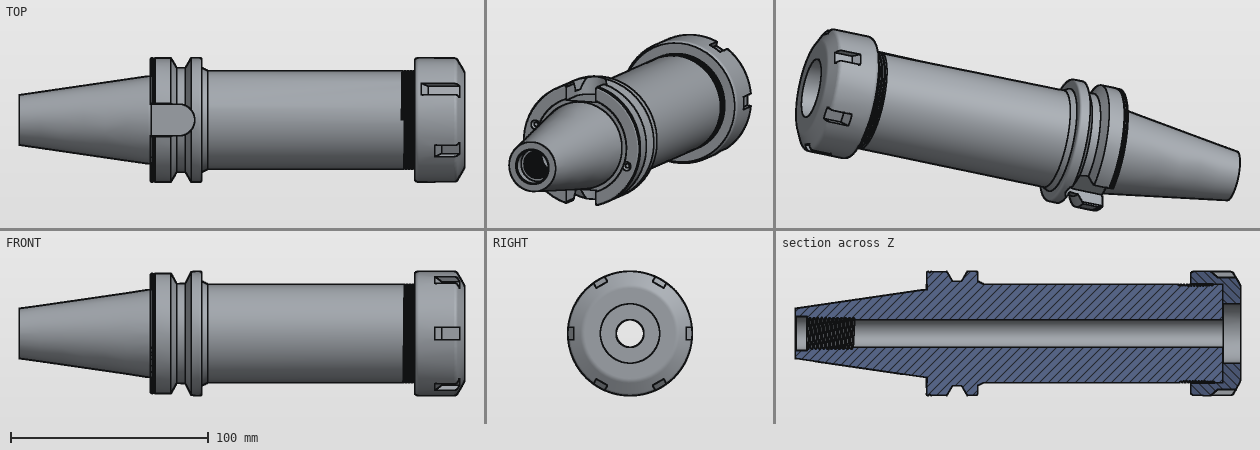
import cadquery as cq
import math


gauge_radius = 44.45 / 2
taper_length = 65.4
taper_slope = 7 / 24 / 2
taper_small_radius = gauge_radius - taper_length * taper_slope

flange_radius = 31.5
flange_front = 1.0
flange_back = 27.0
flange_front_fillet = 1.0
flange_back_fillet = 1.2
undercut_radius = 24.7
undercut_floor = 1.4
grip_groove_center = 16.5
grip_groove_depth = 5.0
grip_groove_half_top = 5.1
grip_groove_half_bottom = grip_groove_half_top - grip_groove_depth * math.tan(math.radians(30))
mark_groove_start = flange_front + flange_front_fillet
mark_groove_width = 1.4
mark_groove_depth = 0.5

key_width = 16.1
key_floor = 22.6
key_end = 23.4
key_chamfer = 0.8
key_rim_drop = flange_radius - math.sqrt(flange_radius**2 - (key_width / 2 + key_chamfer) ** 2)

coolant_core_diameter = 2.2
coolant_mouth_diameter = 4.6
coolant_circle_radius = 26.4
coolant_angle = 20
coolant_depth = 8.0
coolant_mouth_depth = (coolant_mouth_diameter - coolant_core_diameter) / 2

body_radius = 25.0
collar_radius = 26.5
collar_length = 3.0
overall_length = 225.4
nose_end = overall_length - taper_length
body_end = nose_end - 9.0

bore_radius = 13.835 / 2
counterbore_radius = 8.5
counterbore_depth = 6.0
counterbore_chamfer = 0.5
drawbar_pitch = 2.0
drawbar_radius = 8.0
drawbar_turns = 12

nut_pitch = 1.5
nut_thread_depth = 0.92
nut_thread_start = 128.5
nut_thread_turns = 12
thread_cutter_overshoot = 0.05

nut_length = 25.4
nut_radius = 31.5
nut_back = nose_end - nut_length
nut_opening_radius = 15.0
nut_back_round_length = 2.0
nut_back_round_drop = 1.0
nut_back_round_radius = (nut_back_round_length**2 + nut_back_round_drop**2) / (2 * nut_back_round_drop)
nose_cone_angle = 60
nose_face_radius = 24.0
nose_cone_length = (nut_radius - nose_face_radius) / math.tan(math.radians(nose_cone_angle))
nose_rim_fillet = 2.2
nose_face_fillet = 4.0

slot_count = 6
slot_width = 6.5
slot_floor = 28.4
slot_ramp_length = 2.8
slot_ramp_rise = 2.4
slot_entry_length = 0.8
short_slot_length = 15.4
long_slot_length = 22.2
long_slot_index = 1


def revolve_about_x(profile):
    return profile.close().revolve(360, (0, 0, 0), (1, 0, 0))


def thread_cutter(start, pitch, turns, root_radius, tip_radius, lefthand):
    """Triangular ridge wound around X, from its wide root to its narrow tip."""
    half_width = 0.45 * pitch
    helix = cq.Wire.makeHelix(pitch, pitch * turns, root_radius, lefthand=lefthand)
    ridge = (
        cq.Workplane("XZ")
        .moveTo(root_radius, -half_width)
        .lineTo(tip_radius, 0)
        .lineTo(root_radius, half_width)
        .close()
        .sweep(cq.Workplane(obj=helix), isFrenet=True)
    )
    return (
        ridge.rotate((0, 0, 0), (0, 1, 0), 90)
        .rotate((0, 0, 0), (1, 0, 0), 180)
        .translate((start, 0, 0))
    )


def holder_blank():
    groove_radius = flange_radius - grip_groove_depth
    mark_middle = mark_groove_start + mark_groove_width / 2
    profile = (
        cq.Workplane("XY")
        .moveTo(-taper_length, 0)
        .lineTo(-taper_length, taper_small_radius)
        .lineTo(0, gauge_radius)
        .lineTo(undercut_floor, gauge_radius)
        .lineTo(undercut_floor, undercut_radius)
        .lineTo(flange_front, undercut_radius)
        .lineTo(flange_front, flange_radius - flange_front_fillet)
        .radiusArc((mark_groove_start, flange_radius), flange_front_fillet)
        .lineTo(mark_middle, flange_radius - mark_groove_depth)
        .lineTo(mark_groove_start + mark_groove_width, flange_radius)
        .lineTo(grip_groove_center - grip_groove_half_top, flange_radius)
        .lineTo(grip_groove_center - grip_groove_half_bottom, groove_radius)
        .lineTo(grip_groove_center + grip_groove_half_bottom, groove_radius)
        .lineTo(grip_groove_center + grip_groove_half_top, flange_radius)
        .lineTo(flange_back - flange_back_fillet, flange_radius)
        .radiusArc((flange_back, flange_radius - flange_back_fillet), flange_back_fillet)
        .lineTo(flange_back, collar_radius)
        .lineTo(flange_back + collar_length, body_radius)
        .lineTo(body_end, body_radius)
        .lineTo(body_end, 0)
    )
    return revolve_about_x(profile)


def bore_cutter():
    shoulder = counterbore_depth - taper_length
    profile = (
        cq.Workplane("XY")
        .moveTo(-taper_length, 0)
        .lineTo(-taper_length, counterbore_radius + counterbore_chamfer)
        .lineTo(-taper_length + counterbore_chamfer, counterbore_radius)
        .lineTo(shoulder, counterbore_radius)
        .lineTo(shoulder, bore_radius)
        .lineTo(body_end, bore_radius)
        .lineTo(body_end, 0)
    )
    return revolve_about_x(profile)


def keyway_cutter():
    end_center = key_end - key_width / 2
    height = flange_radius - key_floor
    straight = cq.Workplane("XY").box(end_center, key_width, height, centered=(False, True, False))
    rounded = cq.Workplane("XY").center(end_center, 0).circle(key_width / 2).extrude(height)
    edge_relief = (
        cq.Workplane("YZ")
        .moveTo(-key_width / 2 - key_chamfer, height)
        .lineTo(-key_width / 2, height - key_chamfer - key_rim_drop)
        .lineTo(key_width / 2, height - key_chamfer - key_rim_drop)
        .lineTo(key_width / 2 + key_chamfer, height)
        .close()
        .extrude(grip_groove_center)
    )
    return straight.union(rounded).union(edge_relief).translate((0, 0, key_floor))


def coolant_hole():
    angle = math.radians(coolant_angle)
    y = coolant_circle_radius * math.cos(angle)
    z = coolant_circle_radius * math.sin(angle)
    return (
        cq.Workplane("YZ", origin=(flange_front + coolant_depth, y, z))
        .circle(coolant_core_diameter / 2)
        .extrude(-coolant_depth)
        .faces("<X")
        .workplane()
        .circle(coolant_mouth_diameter / 2)
        .extrude(-coolant_mouth_depth, taper=45)
    )


def make_holder():
    holder = holder_blank().cut(bore_cutter())
    for turn in (0, 180):
        holder = holder.cut(keyway_cutter().rotate((0, 0, 0), (1, 0, 0), turn))
        holder = holder.cut(coolant_hole().rotate((0, 0, 0), (1, 0, 0), turn))
    outer_thread = thread_cutter(
        nut_thread_start,
        nut_pitch,
        nut_thread_turns,
        body_radius + thread_cutter_overshoot,
        body_radius - nut_thread_depth,
        lefthand=True,
    )
    drawbar_thread = thread_cutter(
        counterbore_depth - taper_length,
        drawbar_pitch,
        drawbar_turns,
        bore_radius - thread_cutter_overshoot,
        drawbar_radius,
        lefthand=False,
    )
    return holder.cut(outer_thread).cut(drawbar_thread)


def nut_blank():
    cone_corner = nose_end - nose_cone_length
    profile = (
        cq.Workplane("XY")
        .moveTo(nut_back, body_radius)
        .lineTo(nut_back, nut_radius - nut_back_round_drop)
        .radiusArc((nut_back + nut_back_round_length, nut_radius), nut_back_round_radius)
        .lineTo(cone_corner, nut_radius)
        .lineTo(nose_end, nose_face_radius)
        .lineTo(nose_end, nut_opening_radius)
        .lineTo(body_end, nut_opening_radius)
        .lineTo(body_end, body_radius)
    )
    blank = revolve_about_x(profile)

    def rim(x, radius):
        tol = 0.1
        return cq.selectors.BoxSelector(
            (x - tol, -radius - tol, -radius - tol), (x + tol, radius + tol, radius + tol), boundingbox=True)

    blank = blank.edges(rim(cone_corner, nut_radius)).fillet(nose_rim_fillet)
    return blank.edges(rim(nose_end, nose_face_radius)).edges(
        cq.selectors.RadiusNthSelector(-1)).fillet(nose_face_fillet)


def slot_cutter(length):
    start = nose_end - length
    top = nut_radius + 1
    return (
        cq.Workplane("XZ")
        .moveTo(start, top)
        .lineTo(start, nut_radius)
        .lineTo(start + slot_entry_length, slot_floor + slot_ramp_rise)
        .lineTo(start + slot_entry_length + slot_ramp_length, slot_floor)
        .lineTo(nose_end, slot_floor)
        .lineTo(nose_end, top)
        .close()
        .extrude(slot_width / 2, both=True)
    )


def make_nut():
    nut = nut_blank()
    for index in range(slot_count):
        length = long_slot_length if index == long_slot_index else short_slot_length
        angle = 360 / slot_count * index - 90
        nut = nut.cut(slot_cutter(length).rotate((0, 0, 0), (1, 0, 0), angle))
    return nut


holder = make_holder()
nut = make_nut()
result = cq.Compound.makeCompound([holder.val(), nut.val()])